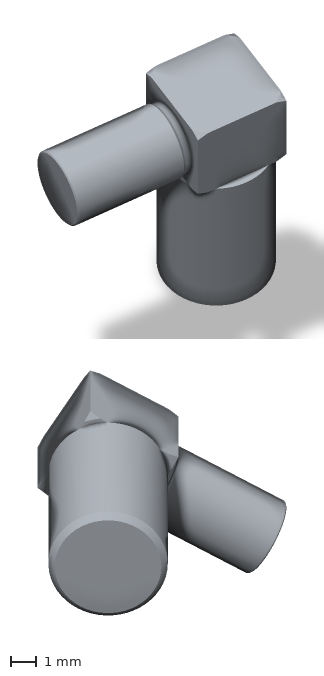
import cadquery as cq
import math

total_height = 10.71

barrel_diameter = 4.6
barrel_height = 7.2
barrel_chamfer = 0.25

head_width = 3.96
head_height = total_height - barrel_height
head_face_radius = 2.51
head_bevel_angle = 30.0

arm_axis_z = 8.71
neck_diameter = 3.02
neck_length = 0.32
sleeve_diameter = 3.15
sleeve_length = 4.8
edge_chamfer = 0.05

head_front_y = -head_width / 2
joint_y = head_front_y - neck_length


def arm_cylinder(diameter, start_y, length):
    """Cylinder along -Y on the arm axis, beginning at start_y."""
    arm_plane = cq.Workplane("XZ", origin=(0, start_y, arm_axis_z))
    return arm_plane.circle(diameter / 2).extrude(length)


def make_barrel():
    """Vertical cylinder with a chamfered bottom edge."""
    barrel = cq.Workplane("XY").circle(barrel_diameter / 2).extrude(barrel_height)
    return barrel.faces("<Z").chamfer(barrel_chamfer)


def make_head():
    """Square block whose corners are turned off conically at both ends."""
    block = (
        cq.Workplane("XY", origin=(0, 0, barrel_height))
        .rect(head_width, head_width)
        .extrude(head_height)
    )
    outer_radius = head_width
    bevel_drop = (outer_radius - head_face_radius) * math.tan(math.radians(head_bevel_angle))
    envelope = (
        cq.Workplane("XZ")
        .moveTo(0, barrel_height)
        .lineTo(head_face_radius, barrel_height)
        .lineTo(outer_radius, barrel_height + bevel_drop)
        .lineTo(outer_radius, total_height - bevel_drop)
        .lineTo(head_face_radius, total_height)
        .lineTo(0, total_height)
        .close()
        .revolve(360, (0, 0, 0), (0, 1, 0))
    )
    return block.intersect(envelope)


def make_neck():
    """Short stub on the front of the head, chamfered where it meets the sleeve."""
    return arm_cylinder(neck_diameter, head_front_y, neck_length).faces("<Y").chamfer(edge_chamfer)


def make_housing():
    """Barrel, head and neck as one solid."""
    return make_barrel().union(make_head()).union(make_neck())


def make_sleeve():
    """Cable sleeve butting against the neck, chamfered at both ends."""
    return arm_cylinder(sleeve_diameter, joint_y, sleeve_length).faces("<Y or >Y").chamfer(edge_chamfer)


housing = make_housing()
sleeve = make_sleeve()

result = cq.Compound.makeCompound([housing.solids().val(), sleeve.solids().val()])